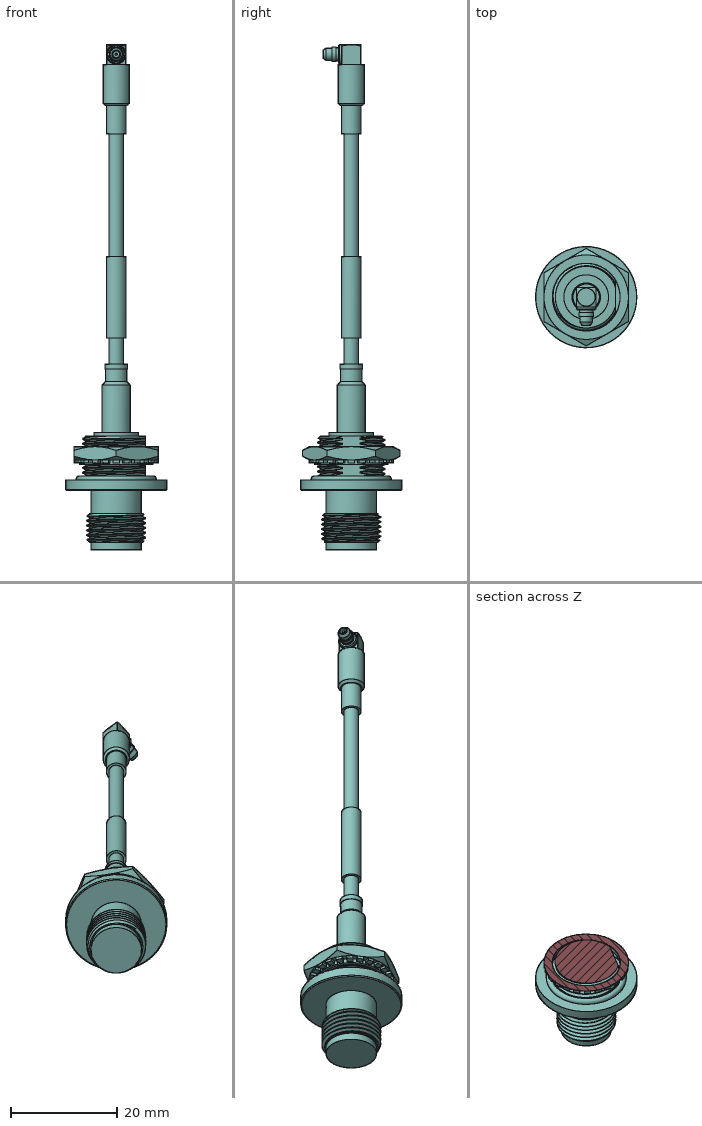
import cadquery as cq
import math

TOTAL_HEIGHT = 95.0

BARREL_DIAMETER = 9.5
FRONT_THREAD_DIAMETER = 11.1
FRONT_THREAD_START = 1.4
FRONT_THREAD_END = 6.85
FLANGE_DIAMETER = 19.05
FLANGE_BOTTOM = 11.15
FLANGE_TOP = 13.15
FLANGE_CHAMFER = 0.2
REAR_THREAD_DIAMETER = 12.7
REAR_THREAD_END = 21.4
REAR_FLAT_OFFSET = 5.55
REAR_COLLAR_DIAMETER = 8.4
REAR_COLLAR_TOP = 22.1

THREAD_PITCH = 25.4 / 28
THREAD_DEPTH = 0.6134 * THREAD_PITCH
CREST_WIDTH = THREAD_PITCH / 8
RIDGE_BASE_WIDTH = THREAD_PITCH * 0.85
RIDGE_ROOT_OVERLAP = 0.1

ORING_OUTER_DIAMETER = 15.1
ORING_SECTION = 1.2
ORING_CENTRE_Z = FLANGE_TOP + 0.15

NUT_BOTTOM = 16.9
NUT_THICKNESS = 2.5
NUT_ACROSS_FLATS = 15.875
NUT_CHAMFER_SLOPE = math.tan(math.radians(30))
WASHER_DIAMETER = 15.9
WASHER_RING_DIAMETER = 13.8
WASHER_THICKNESS = 0.85
WASHER_TOOTH_COUNT = 24
WASHER_TOOTH_WIDTH = 1.2
WASHER_TOOTH_THICKNESS = 0.55

THREAD_CLEARANCE = 0.02
BORE_DIAMETER = REAR_THREAD_DIAMETER + 2 * THREAD_CLEARANCE

CABLE_DIAMETER = 2.8
MARKER_BOTTOM = 39.8
MARKER_TOP = 55.1
SLEEVE_DIAMETER = 3.7

TNC_FERRULE_DIAMETER = 5.35
TNC_FERRULE_SHOULDER = 30.95
TNC_FERRULE_NECK_BOTTOM = 31.65
TNC_FERRULE_NECK_DIAMETER = 4.05
TNC_FERRULE_LIP_DIAMETER = 4.25
TNC_FERRULE_LIP_BOTTOM = 33.95
TNC_FERRULE_TOP = 34.9
TNC_FERRULE_MOUTH_DIAMETER = 3.5

MMCX_FERRULE_DIAMETER = 4.95
MMCX_FERRULE_BOTTOM = 78.2
MMCX_FERRULE_STEP = 83.5
MMCX_FERRULE_CHAMFER = 0.45

MMCX_BLOCK_WIDTH = 3.68
MMCX_CORNER_DIAMETER = 5.08
MMCX_BLOCK_BOTTOM = 91.2
MMCX_TOP_DIAMETER = 3.4
MMCX_TOP_CONE_HEIGHT = 0.3

PLUG_AXIS_Z = TOTAL_HEIGHT - MMCX_BLOCK_WIDTH / 2
PLUG_FLANGE_DIAMETER = 3.65
PLUG_FLANGE_REACH = 2.4
PLUG_FLANGE_CHAMFER = 0.2
PLUG_NECK_DIAMETER = 2.5
PLUG_NECK_REACH = 2.85
PLUG_RING_SEAT_DIAMETER = 1.95
PLUG_RING_REACH = 3.65
PLUG_NOSE_DIAMETER = 2.35
PLUG_NOSE_REACH = 4.7
PLUG_TIP_DIAMETER = 1.6
PLUG_TIP_REACH = 5.3
PLUG_BORE_DIAMETER = 1.3
PLUG_BORE_DEPTH = 1.6
PLUG_PIN_DIAMETER = 0.4
PLUG_PIN_RECESS = 0.3
SNAP_RING_DIAMETER = 2.75
SNAP_RING_GAP = 0.55


def cylinder(diameter, bottom, top):
    return cq.Workplane("XY", origin=(0, 0, bottom)).circle(diameter / 2).extrude(top - bottom)


def revolved(points):
    """Revolve a closed (radius, z) outline about the Z axis."""
    return cq.Workplane("XZ").polyline(points).close().revolve(360, (0, 0), (0, 1))


def revolved_on_plug_axis(points):
    """Revolve a closed (radius, distance from the cable axis) outline about the plug axis."""
    return revolved(points).rotate((0, 0, 0), (1, 0, 0), 90).translate((0, 0, PLUG_AXIS_Z))


def screw_thread(diameter, bottom, top, flat_offset=None):
    """Threaded cylinder with chamfered ends and, where asked for, a flat along its +X side."""
    crest_radius = diameter / 2
    root_radius = crest_radius - THREAD_DEPTH
    inner_radius = root_radius - RIDGE_ROOT_OVERLAP
    height = top - bottom
    helix_bottom = bottom - THREAD_PITCH
    helix_height = height + 2 * THREAD_PITCH
    helix = cq.Wire.makeHelix(THREAD_PITCH, helix_height, root_radius, cq.Vector(0, 0, helix_bottom))
    ridge = (
        cq.Workplane("XZ", origin=(0, 0, helix_bottom))
        .polyline([
            (inner_radius, -RIDGE_BASE_WIDTH / 2),
            (crest_radius, -CREST_WIDTH / 2),
            (crest_radius, CREST_WIDTH / 2),
            (inner_radius, RIDGE_BASE_WIDTH / 2),
        ])
        .close()
        .sweep(cq.Workplane(helix), isFrenet=True)
    )
    envelope = revolved([
        (0, bottom),
        (root_radius, bottom),
        (crest_radius + RIDGE_ROOT_OVERLAP, bottom + THREAD_DEPTH + RIDGE_ROOT_OVERLAP),
        (crest_radius + RIDGE_ROOT_OVERLAP, top - THREAD_DEPTH - RIDGE_ROOT_OVERLAP),
        (root_radius, top),
        (0, top),
    ])
    core = cylinder(2 * root_radius, bottom, top)
    if flat_offset is not None:
        flat_cut = (
            cq.Workplane("XY", origin=(flat_offset + diameter / 2, 0, bottom))
            .rect(diameter, 2 * diameter)
            .extrude(height)
        )
        core = core.cut(flat_cut)
        envelope = envelope.cut(flat_cut)
    return core.union(ridge.intersect(envelope))


def make_oring():
    """Round-section ring standing proud of the flange, in a matching groove."""
    ring_radius = (ORING_OUTER_DIAMETER - ORING_SECTION) / 2
    return (
        cq.Workplane("XZ")
        .center(ring_radius, ORING_CENTRE_Z)
        .circle(ORING_SECTION / 2)
        .revolve(360, (-ring_radius, 0), (-ring_radius, 1))
    )


def make_tnc_body(oring):
    """Threaded barrel, flange with the O-ring groove, flatted rear thread and end collar."""
    flange = cylinder(FLANGE_DIAMETER, FLANGE_BOTTOM, FLANGE_TOP).faces("<Z").chamfer(FLANGE_CHAMFER)
    front_thread = screw_thread(FRONT_THREAD_DIAMETER, FRONT_THREAD_START, FRONT_THREAD_END)
    rear_thread = screw_thread(REAR_THREAD_DIAMETER, FLANGE_TOP, REAR_THREAD_END, REAR_FLAT_OFFSET)
    grooved_flange = flange.union(cylinder(BARREL_DIAMETER, 0, FLANGE_BOTTOM)).cut(oring)
    collar = cylinder(REAR_COLLAR_DIAMETER, REAR_THREAD_END, REAR_COLLAR_TOP)
    return grooved_flange.union(collar).union(front_thread).union(rear_thread)


def make_nut():
    """Hexagon with corners along Y, coned at both ends, bored to clear the rear thread."""
    corner_radius = NUT_ACROSS_FLATS / math.sqrt(3)
    face_radius = NUT_ACROSS_FLATS / 2
    cone_height = (corner_radius - face_radius) * NUT_CHAMFER_SLOPE
    top = NUT_BOTTOM + NUT_THICKNESS
    envelope = revolved([
        (0, NUT_BOTTOM),
        (face_radius, NUT_BOTTOM),
        (corner_radius, NUT_BOTTOM + cone_height),
        (corner_radius, top - cone_height),
        (face_radius, top),
        (0, top),
    ])
    return (
        cq.Workplane("XY", origin=(0, 0, NUT_BOTTOM))
        .transformed(rotate=(0, 0, 90))
        .polygon(6, 2 * corner_radius)
        .extrude(NUT_THICKNESS)
        .intersect(envelope)
        .cut(cylinder(BORE_DIAMETER, NUT_BOTTOM, top))
    )


def make_washer():
    """Lock washer: a ring with teeth standing out from its upper edge, under the nut."""
    bottom = NUT_BOTTOM - WASHER_THICKNESS
    washer = cylinder(WASHER_RING_DIAMETER, bottom, NUT_BOTTOM)
    outer_radius = WASHER_DIAMETER / 2
    tooth_root = (BORE_DIAMETER + WASHER_RING_DIAMETER) / 4
    tooth_middle = (tooth_root + outer_radius) / 2
    teeth = (
        cq.Workplane("XY", origin=(0, 0, NUT_BOTTOM - WASHER_TOOTH_THICKNESS))
        .polarArray(tooth_middle, 0, 360, WASHER_TOOTH_COUNT)
        .rect(outer_radius - tooth_root, WASHER_TOOTH_WIDTH)
        .extrude(WASHER_TOOTH_THICKNESS)
    )
    return washer.union(teeth).cut(cylinder(BORE_DIAMETER, bottom, NUT_BOTTOM))


def make_tnc_ferrule(cable):
    """Stepped tube with a coned shoulder and a lipped, flared mouth around the cable."""
    body_radius = TNC_FERRULE_DIAMETER / 2
    neck_radius = TNC_FERRULE_NECK_DIAMETER / 2
    lip_radius = TNC_FERRULE_LIP_DIAMETER / 2
    outline = [
        (0, REAR_COLLAR_TOP),
        (body_radius, REAR_COLLAR_TOP),
        (body_radius, TNC_FERRULE_SHOULDER),
        (neck_radius, TNC_FERRULE_NECK_BOTTOM),
        (neck_radius, TNC_FERRULE_LIP_BOTTOM),
        (lip_radius, TNC_FERRULE_LIP_BOTTOM),
        (lip_radius, TNC_FERRULE_TOP),
        (TNC_FERRULE_MOUTH_DIAMETER / 2, TNC_FERRULE_TOP),
        (0, TNC_FERRULE_TOP - TNC_FERRULE_MOUTH_DIAMETER / 2),
    ]
    return revolved(outline).cut(cable)


def make_mmcx_ferrule(cable):
    """Stepped tube, wide under the block and as narrow as the marker sleeve below."""
    barrel_radius = MMCX_FERRULE_DIAMETER / 2
    sleeve_radius = SLEEVE_DIAMETER / 2
    outline = [
        (0, MMCX_FERRULE_BOTTOM),
        (sleeve_radius, MMCX_FERRULE_BOTTOM),
        (sleeve_radius, MMCX_FERRULE_STEP),
        (barrel_radius - MMCX_FERRULE_CHAMFER, MMCX_FERRULE_STEP),
        (barrel_radius, MMCX_FERRULE_STEP + MMCX_FERRULE_CHAMFER),
        (barrel_radius, MMCX_BLOCK_BOTTOM),
        (0, MMCX_BLOCK_BOTTOM),
    ]
    return revolved(outline).cut(cable)


def make_mmcx_body():
    """Square block with rounded corners and a coned top, and the round plug on its -Y face."""
    corner_radius = MMCX_CORNER_DIAMETER / 2
    envelope = revolved([
        (0, MMCX_BLOCK_BOTTOM),
        (corner_radius, MMCX_BLOCK_BOTTOM),
        (corner_radius, TOTAL_HEIGHT - MMCX_TOP_CONE_HEIGHT),
        (MMCX_TOP_DIAMETER / 2, TOTAL_HEIGHT),
        (0, TOTAL_HEIGHT),
    ])
    block = (
        cq.Workplane("XY", origin=(0, 0, MMCX_BLOCK_BOTTOM))
        .rect(MMCX_BLOCK_WIDTH, MMCX_BLOCK_WIDTH)
        .extrude(TOTAL_HEIGHT - MMCX_BLOCK_BOTTOM)
        .intersect(envelope)
    )
    return block.union(make_plug())


def make_plug():
    """Flange, neck, snap ring groove and coned nose, bored at the tip around a centre pin."""
    block_face = MMCX_BLOCK_WIDTH / 2
    flange_radius = PLUG_FLANGE_DIAMETER / 2
    neck_radius = PLUG_NECK_DIAMETER / 2
    seat_radius = PLUG_RING_SEAT_DIAMETER / 2
    nose_radius = PLUG_NOSE_DIAMETER / 2
    bore_radius = PLUG_BORE_DIAMETER / 2
    pin_radius = PLUG_PIN_DIAMETER / 2
    bore_floor = PLUG_TIP_REACH - PLUG_BORE_DEPTH
    pin_reach = PLUG_TIP_REACH - PLUG_PIN_RECESS
    return revolved_on_plug_axis([
        (0, 0),
        (neck_radius, 0),
        (neck_radius, block_face),
        (flange_radius, block_face),
        (flange_radius, PLUG_FLANGE_REACH - PLUG_FLANGE_CHAMFER),
        (flange_radius - PLUG_FLANGE_CHAMFER, PLUG_FLANGE_REACH),
        (neck_radius, PLUG_FLANGE_REACH),
        (neck_radius, PLUG_NECK_REACH),
        (seat_radius, PLUG_NECK_REACH),
        (seat_radius, PLUG_RING_REACH),
        (nose_radius, PLUG_RING_REACH),
        (nose_radius, PLUG_NOSE_REACH),
        (PLUG_TIP_DIAMETER / 2, PLUG_TIP_REACH),
        (bore_radius, PLUG_TIP_REACH),
        (bore_radius, bore_floor),
        (pin_radius, bore_floor),
        (pin_radius, pin_reach),
        (0, pin_reach),
    ])


def make_snap_ring():
    """Split ring in the plug groove, its gap on the -X side."""
    inner_radius = PLUG_RING_SEAT_DIAMETER / 2
    outer_radius = SNAP_RING_DIAMETER / 2
    ring = revolved_on_plug_axis([
        (inner_radius, PLUG_NECK_REACH),
        (outer_radius, PLUG_NECK_REACH),
        (outer_radius, PLUG_RING_REACH),
        (inner_radius, PLUG_RING_REACH),
    ])
    gap = (
        cq.Workplane("XY", origin=(-SNAP_RING_DIAMETER / 2, -PLUG_RING_REACH, PLUG_AXIS_Z))
        .box(SNAP_RING_DIAMETER, SNAP_RING_DIAMETER, SNAP_RING_GAP)
    )
    return ring.cut(gap)


oring = make_oring()
tnc_body = make_tnc_body(oring)
nut = make_nut()
washer = make_washer()
cable = cylinder(CABLE_DIAMETER, REAR_COLLAR_TOP, MMCX_BLOCK_BOTTOM)
tnc_ferrule = make_tnc_ferrule(cable)
marker_sleeve = cylinder(SLEEVE_DIAMETER, MARKER_BOTTOM, MARKER_TOP).cut(cable)
mmcx_ferrule = make_mmcx_ferrule(cable)
mmcx_body = make_mmcx_body()
snap_ring = make_snap_ring()

result = cq.Compound.makeCompound([
    tnc_body.val(),
    oring.val(),
    washer.val(),
    nut.val(),
    tnc_ferrule.val(),
    cable.val(),
    marker_sleeve.val(),
    mmcx_ferrule.val(),
    mmcx_body.val(),
    snap_ring.val(),
])